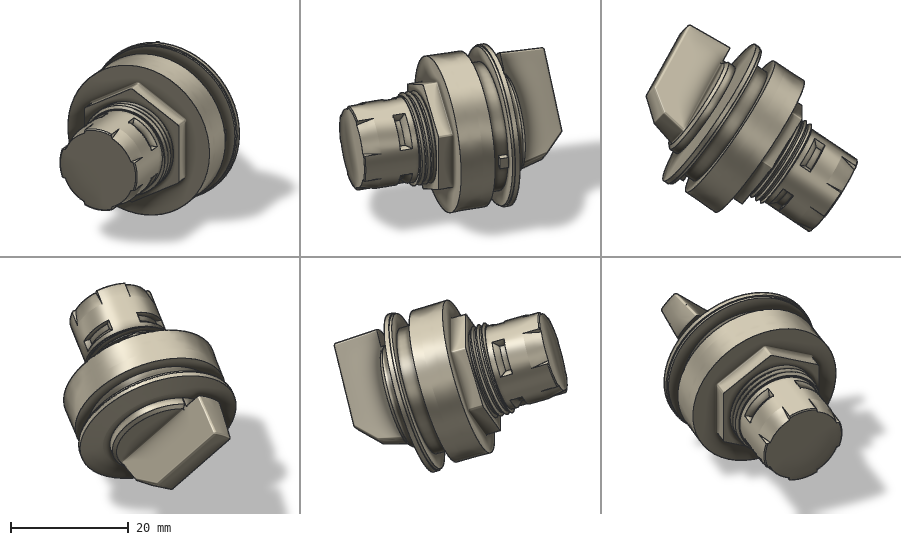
import cadquery as cq
import math


overall_length = 36.2

bezel_diameter = 27.9
bezel_lip_diameter = 27.4
bezel_cone_diameter = 20.15
bezel_lip_thickness = 0.45
bezel_rim_y = 1.29
bezel_top_y = 2.05
knob_diameter = 17.76
knob_top_y = 3.93
knob_chamfer = 0.56
nose_support_radius = 9.0

neck_diameter = 22.2
neck_length = 3.0
collar_diameter = 26.8
collar_back_diameter = 26.96
collar_straight_length = 2.05
collar_back_y = -9.04
tab_reach = 12.1
tab_width = 2.0
tab_top_y = -0.2
tab_height = 1.5

hex_sides = 6
hex_flats = 18.0
hex_back_y = -11.65
hex_corner_radius = 0.5
hex_root_fillet = 0.25

thread_diameter = 16.0
thread_root_diameter = 15.0
thread_pitch = 1.0
thread_ridge_width = 0.7
thread_overlap = 0.1
thread_back_y = -14.63
thread_crest_y = -12.0

barrel_diameter = 14.7
barrel_back_y = -24.27
barrel_chamfer = 0.2

pocket_count = 4
pocket_apex_radius = 4.64
pocket_half_angle = 57.2
window_top_y = -15.65
window_bottom_y = -17.78
window_depth = 0.9
window_ramp_length = 1.01
notch_top_y = -21.24
notch_depth = 0.58

handle_angle = -135.0
handle_top_y = barrel_back_y + overall_length
handle_base_half_width = 2.72
handle_top_half_width = 1.98
handle_nose_base_radius = 12.0
handle_nose_top_radius = 11.7
handle_tail_base = -7.92
handle_tail_bend = -6.78
handle_tail_bend_y = 8.34
handle_tail_top = -3.26
handle_fillet = 0.45
handle_root_fillet = 0.25


def revolved(points):
    """Solid of revolution about Y from (radius, y) points."""
    return cq.Workplane("XY").polyline(points).close().revolve(360, (0, 0, 0), (0, 1, 0))


def cylinder(diameter, y_low, y_high):
    """Cylinder about Y between two Y levels."""
    return cq.Workplane("XZ", origin=(0, y_high, 0)).circle(diameter / 2).extrude(y_high - y_low)


def make_bezel():
    return revolved([
        (0, 0),
        (bezel_lip_diameter / 2, 0),
        (bezel_lip_diameter / 2, bezel_lip_thickness),
        (bezel_diameter / 2, bezel_lip_thickness),
        (bezel_diameter / 2, bezel_rim_y),
        (bezel_cone_diameter / 2, bezel_top_y),
        (0, bezel_top_y),
    ])


def make_neck_and_collar():
    collar_front_y = -neck_length
    taper_start_y = collar_front_y - collar_straight_length
    return revolved([
        (0, 0),
        (neck_diameter / 2, 0),
        (neck_diameter / 2, collar_front_y),
        (collar_diameter / 2, collar_front_y),
        (collar_diameter / 2, taper_start_y),
        (collar_back_diameter / 2, collar_back_y),
        (0, collar_back_y),
    ])


def make_tab():
    """Block reaching out of the neck on +X."""
    tab = cq.Workplane("XY").box(tab_reach, tab_height, tab_width, centered=(False, False, True))
    return tab.translate((0, tab_top_y - tab_height, 0))


def add_hexagon(body):
    """Hexagon with flats on +/-X, rounded corners and a fillet where it meets the collar."""
    height = collar_back_y - hex_back_y
    across_corners = hex_flats / math.cos(math.pi / hex_sides)
    hexagon = (
        cq.Workplane("XZ")
        .transformed(rotate=(0, 0, 90))
        .polygon(hex_sides, across_corners)
        .extrude(height)
        .edges("|Y")
        .fillet(hex_corner_radius)
        .translate((0, collar_back_y, 0))
    )
    margin = hex_root_fillet / 2
    reach = across_corners / 2
    root_zone = cq.selectors.BoxSelector(
        (-reach, collar_back_y - margin, -reach),
        (reach, collar_back_y + margin, reach),
        boundingbox=True,
    )
    return body.union(hexagon).edges(root_zone).fillet(hex_root_fillet)


def make_thread():
    """Right-handed ridge wound on a root cylinder and trimmed to the threaded length."""
    root_radius = thread_root_diameter / 2
    crest_radius = thread_diameter / 2
    sunk_radius = root_radius - thread_overlap
    slope = thread_ridge_width / 2 / (crest_radius - root_radius)
    sunk_half_width = slope * (crest_radius - sunk_radius)
    turns_below = math.ceil((thread_crest_y - thread_back_y) / thread_pitch) + 1
    turns_above = math.ceil((hex_back_y - thread_crest_y) / thread_pitch)
    start_y = thread_crest_y - turns_below * thread_pitch
    helix = cq.Wire.makeHelix(thread_pitch, (turns_below + turns_above) * thread_pitch, root_radius)
    ridge = (
        cq.Workplane("XZ")
        .polyline([
            (sunk_radius, -sunk_half_width),
            (crest_radius, 0),
            (sunk_radius, sunk_half_width),
        ])
        .close()
        .sweep(cq.Workplane(obj=helix), isFrenet=True)
        .rotate((0, 0, 0), (1, 1, 1), -120)
        .translate((0, start_y, 0))
    )
    trim = cylinder(thread_diameter + thread_pitch, thread_back_y, hex_back_y)
    return cylinder(thread_root_diameter, thread_back_y, hex_back_y).union(ridge.intersect(trim))


def make_barrel():
    barrel = cylinder(barrel_diameter, barrel_back_y, hex_back_y)
    return barrel.faces("<Y").chamfer(barrel_chamfer)


def cut_pockets(barrel, outline):
    """Cut a pocket on each diagonal; `outline` is the (radius, y) shape left standing inside it."""
    y_low = min(y for _, y in outline)
    y_high = max(y for _, y in outline)
    half_angle = math.radians(pocket_half_angle)
    arm_x = barrel_diameter * math.cos(half_angle)
    arm_z = barrel_diameter * math.sin(half_angle)
    wedge = (
        cq.Workplane("XZ", origin=(0, y_high, 0))
        .polyline([
            (pocket_apex_radius, 0),
            (pocket_apex_radius + arm_x, arm_z),
            (pocket_apex_radius + arm_x, -arm_z),
        ])
        .close()
        .extrude(y_high - y_low)
    )
    pocket = wedge.cut(revolved(outline))
    for index in range(pocket_count):
        angle = (index + 0.5) * 360 / pocket_count
        barrel = barrel.cut(pocket.rotate((0, 0, 0), (0, 1, 0), angle))
    return barrel


def cut_windows(barrel):
    """Windows with a ramp leading in from their +Y side."""
    radius = barrel_diameter / 2
    floor_radius = radius - window_depth
    return cut_pockets(barrel, [
        (0, window_bottom_y),
        (floor_radius, window_bottom_y),
        (floor_radius, window_top_y - window_ramp_length),
        (radius, window_top_y),
        (0, window_top_y),
    ])


def cut_notches(barrel):
    """Conical notches that deepen toward the end of the barrel."""
    radius = barrel_diameter / 2
    return cut_pockets(barrel, [
        (0, barrel_back_y),
        (radius - notch_depth, barrel_back_y),
        (radius, notch_top_y),
        (0, notch_top_y),
    ])


def make_handle():
    """Tapered blade with its round nose on +X and its sloping tail on -X, before it is turned."""
    length_profile = (
        cq.Workplane("XY")
        .polyline([
            (handle_nose_base_radius, knob_top_y),
            (handle_nose_base_radius, handle_top_y),
            (handle_tail_top, handle_top_y),
            (handle_tail_bend, handle_tail_bend_y),
            (handle_tail_base, knob_top_y),
        ])
        .close()
        .extrude(handle_base_half_width, both=True)
    )
    width_profile = (
        cq.Workplane("ZY", origin=(handle_nose_base_radius, 0, 0))
        .polyline([
            (-handle_base_half_width, knob_top_y),
            (handle_base_half_width, knob_top_y),
            (handle_top_half_width, handle_top_y),
            (-handle_top_half_width, handle_top_y),
        ])
        .close()
        .extrude(2 * handle_nose_base_radius, both=True)
    )
    nose_cone = revolved([
        (0, knob_top_y),
        (handle_nose_base_radius, knob_top_y),
        (handle_nose_top_radius, handle_top_y),
        (0, handle_top_y),
    ])
    blade = length_profile.intersect(width_profile).intersect(nose_cone)
    return blade.edges("not <Y").fillet(handle_fillet)


def make_nose_support():
    """Round-ended block that carries the nose of the handle past the chamfered rim."""
    block = cq.Workplane("XY").box(
        nose_support_radius, knob_top_y, 2 * handle_base_half_width, centered=(False, False, True))
    return block.intersect(cylinder(2 * nose_support_radius, 0, knob_top_y))


def make_handle_root(handle):
    """Fillet band around the foot of the handle, as far as the flat top of the knob base reaches."""
    foot_y = knob_top_y - handle_root_fillet
    disc_diameter = 2 * (handle_nose_base_radius + 2 * handle_root_fillet)
    flat_diameter = knob_diameter - 2 * knob_chamfer
    margin = handle_root_fillet / 2
    root_zone = cq.selectors.BoxSelector(
        (-handle_nose_base_radius - margin, knob_top_y - margin, -handle_base_half_width - margin),
        (handle_nose_base_radius + margin, knob_top_y + margin, handle_base_half_width + margin),
        boundingbox=True,
    )
    disc = cylinder(disc_diameter, foot_y, knob_top_y)
    filleted = disc.union(handle).edges(root_zone).fillet(handle_root_fillet)
    return filleted.intersect(cylinder(flat_diameter, foot_y, handle_top_y))


def make_knob():
    """Chamfered knob base with the handle filleted onto it, turned to its place."""
    base = cylinder(knob_diameter, 0, knob_top_y).faces(">Y").chamfer(knob_chamfer)
    handle = make_handle()
    knob = base.union(make_nose_support()).union(make_handle_root(handle)).union(handle)
    return knob.rotate((0, 0, 0), (0, 1, 0), handle_angle)


body = add_hexagon(make_neck_and_collar())
barrel = cut_notches(cut_windows(make_barrel()))
result = (
    body.union(make_bezel())
    .union(make_tab())
    .union(make_knob())
    .union(barrel)
    .union(make_thread())
)